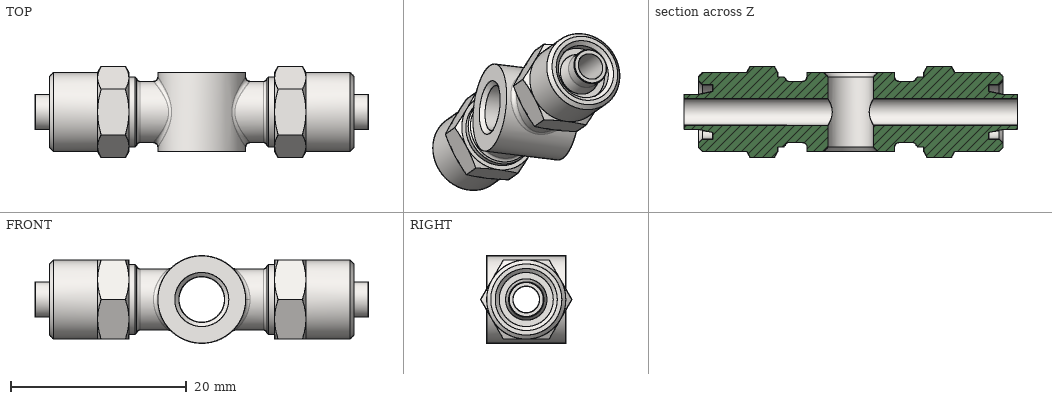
import cadquery as cq
import math

overall_length = 38.0

ring_diameter = 10.0
ring_radius = ring_diameter / 2
ring_width = 9.0
ring_bore_radius = 2.6
ring_bore_chamfer = 0.5

body_radius = 3.5
body_fillet = 0.5
collar_radius = 4.0
collar_shoulder_x = 7.6
collar_chamfer = 0.2
collar_arc_length = 0.38

hex_inner_x = 8.3
hex_outer_x = 11.85
hex_flats = 9.0
hex_chamfer_angle = math.radians(30)
sleeve_radius = hex_flats / 2
sleeve_end_x = 17.33
sleeve_chamfer = 0.45
sleeve_bore_radius = 3.08
sleeve_bore_chamfer = 0.45
sleeve_bore_depth = 1.6

nipple_end_x = overall_length / 2
nipple_radius = 2.0
nipple_base_radius = 2.35
nipple_tip_chamfer = 0.08
flow_bore_diameter = 3.0


def revolve_about_x(points):
    return cq.Workplane("XY").polyline(points).close().revolve(360, (0, 0, 0), (1, 0, 0))


def cylinder_along_x(radius, start, end):
    return cq.Workplane("YZ").workplane(offset=start).circle(radius).extrude(end - start)


def make_center():
    """Ring crossed by the pipe body, with the crossing edges rounded."""
    ring = cq.Workplane("XZ").circle(ring_radius).extrude(ring_width / 2, both=True)
    pipe = cylinder_along_x(body_radius, -collar_shoulder_x, collar_shoulder_x)
    crossing_edges = cq.selectors.BoxSelector(
        (-ring_radius, -ring_width, -ring_width), (ring_radius, ring_width, ring_width)
    )
    joined = ring.union(pipe)
    curved_edges = joined.edges(crossing_edges).edges("not(%CIRCLE or %LINE)")
    return curved_edges.fillet(body_fillet)


def make_collar():
    """Collar at the +X end of the body, chamfered and then faired into the body by an arc."""
    arc_end_x = collar_shoulder_x - collar_chamfer
    arc_end_radius = collar_radius - collar_chamfer
    arc_drop = arc_end_radius - body_radius
    arc_start_x = arc_end_x - collar_arc_length
    arc_radius = (collar_arc_length**2 + arc_drop**2) / (2 * arc_drop)
    half_sweep = math.atan(arc_drop / collar_arc_length)
    arc_middle = (
        arc_start_x + arc_radius * math.sin(half_sweep),
        body_radius + arc_radius * (1 - math.cos(half_sweep)),
    )
    return (
        cq.Workplane("XY")
        .moveTo(arc_start_x, 0)
        .lineTo(arc_start_x, body_radius)
        .threePointArc(arc_middle, (arc_end_x, arc_end_radius))
        .lineTo(collar_shoulder_x, collar_radius)
        .lineTo(hex_inner_x, collar_radius)
        .lineTo(hex_inner_x, 0)
        .close()
        .revolve(360, (0, 0, 0), (1, 0, 0))
    )


def make_hex():
    """Hexagon with corners on the Y axis, both ends turned to a cone."""
    corner_radius = hex_flats / 2 / math.cos(math.radians(30))
    corner_cut = (corner_radius - sleeve_radius) * math.tan(hex_chamfer_angle)
    prism = (
        cq.Workplane("YZ")
        .workplane(offset=hex_inner_x)
        .polygon(6, 2 * corner_radius)
        .extrude(hex_outer_x - hex_inner_x)
    )
    envelope = revolve_about_x([
        (hex_inner_x, 0),
        (hex_inner_x, sleeve_radius),
        (hex_inner_x + corner_cut, corner_radius),
        (hex_outer_x - corner_cut, corner_radius),
        (hex_outer_x, sleeve_radius),
        (hex_outer_x, 0),
    ])
    return prism.intersect(envelope)


def make_sleeve():
    """Round sleeve open at its outer end, chamfered inside and out, with a flat bore floor."""
    floor_x = sleeve_end_x - sleeve_bore_depth
    return revolve_about_x([
        (hex_outer_x, 0),
        (hex_outer_x, sleeve_radius),
        (sleeve_end_x - sleeve_chamfer, sleeve_radius),
        (sleeve_end_x, sleeve_radius - sleeve_chamfer),
        (sleeve_end_x, sleeve_bore_radius + sleeve_bore_chamfer),
        (sleeve_end_x - sleeve_bore_chamfer, sleeve_bore_radius),
        (floor_x, sleeve_bore_radius),
        (floor_x, 0),
    ])


def make_nipple():
    return revolve_about_x([
        (hex_outer_x, 0),
        (hex_outer_x, nipple_base_radius),
        (sleeve_end_x - sleeve_bore_depth, nipple_base_radius),
        (sleeve_end_x, nipple_radius),
        (nipple_end_x - nipple_tip_chamfer, nipple_radius),
        (nipple_end_x, nipple_radius - nipple_tip_chamfer),
        (nipple_end_x, 0),
    ])


def make_ring_bore():
    """Cutter for the ring bore, chamfered at both mouths."""
    half_width = ring_width / 2
    mouth_radius = ring_bore_radius + ring_bore_chamfer
    return (
        cq.Workplane("XY")
        .polyline([
            (0, -half_width),
            (mouth_radius, -half_width),
            (ring_bore_radius, -half_width + ring_bore_chamfer),
            (ring_bore_radius, half_width - ring_bore_chamfer),
            (mouth_radius, half_width),
            (0, half_width),
        ])
        .close()
        .revolve(360, (0, 0, 0), (0, 1, 0))
    )


union_end = make_collar().union(make_hex()).union(make_sleeve()).union(make_nipple())
flow_bore = cylinder_along_x(flow_bore_diameter / 2, -nipple_end_x, nipple_end_x)

result = (
    make_center()
    .union(union_end)
    .union(union_end.mirror("YZ"))
    .cut(make_ring_bore())
    .cut(flow_bore)
)